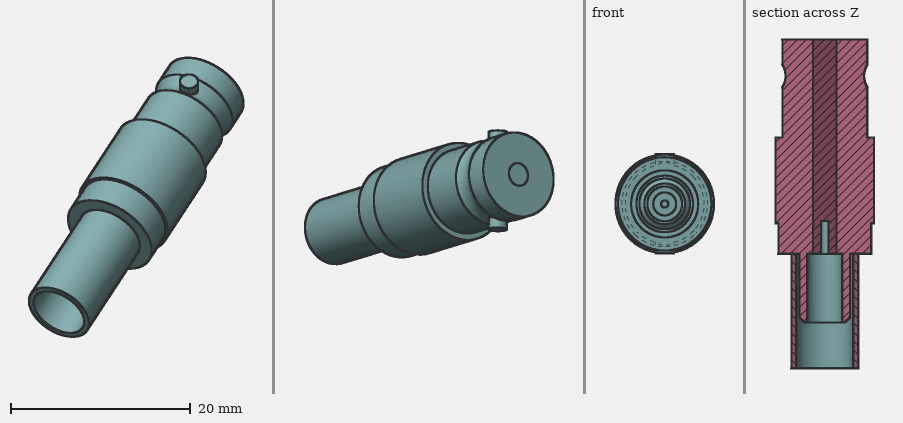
import cadquery as cq

LENGTH = 36.63
FRONT_Y = LENGTH / 2
REAR_Y = -LENGTH / 2

NOSE_RADIUS = 4.75
COLLAR_RADIUS = 5.5
REAR_RING_RADIUS = 5.2
COLLAR_FRONT_Y = FRONT_Y - 10.9
COLLAR_REAR_Y = COLLAR_FRONT_Y - 9.55
SHOULDER_Y = COLLAR_REAR_Y - 3.4

STUD_Y = FRONT_Y - 4.05
STUD_RADIUS = 1.03
STUD_SPAN = 11.05
GROOVE_WIDTH = 2.55
GROOVE_DEPTH = 0.35

STEM_RADIUS = 2.82
STEM_TIP_RADIUS = 2.27
STEM_BORE_RADIUS = 1.95
STEM_RECESS = 5.13
STEM_REAR_Y = REAR_Y + STEM_RECESS
STEM_CHAMFER = STEM_RADIUS - STEM_TIP_RADIUS

FERRULE_RADIUS = 3.75
FERRULE_BORE_RADIUS = 3.15
CONTACT_RADIUS = 1.3
WIRE_HOLE_RADIUS = 0.4
WIRE_HOLE_DEPTH = 3.65


def cylinder_along_y(radius, y_start, y_end):
    """Solid cylinder on the Y axis between two stations."""
    return cq.Workplane("XZ", origin=(0, y_start, 0)).circle(radius).extrude(y_start - y_end)


def make_shell_turning():
    """Turned outside of the shell, from the grooved nose back to the cable stem."""
    groove_front_y = STUD_Y + GROOVE_WIDTH / 2
    groove_rear_y = STUD_Y - GROOVE_WIDTH / 2
    return (
        cq.Workplane("XY")
        .moveTo(0, FRONT_Y)
        .lineTo(NOSE_RADIUS, FRONT_Y)
        .lineTo(NOSE_RADIUS, groove_front_y)
        .threePointArc((NOSE_RADIUS - GROOVE_DEPTH, STUD_Y), (NOSE_RADIUS, groove_rear_y))
        .lineTo(NOSE_RADIUS, COLLAR_FRONT_Y)
        .lineTo(COLLAR_RADIUS, COLLAR_FRONT_Y)
        .lineTo(COLLAR_RADIUS, COLLAR_REAR_Y)
        .lineTo(REAR_RING_RADIUS, COLLAR_REAR_Y)
        .lineTo(REAR_RING_RADIUS, SHOULDER_Y)
        .lineTo(STEM_RADIUS, SHOULDER_Y)
        .lineTo(STEM_RADIUS, STEM_REAR_Y + STEM_CHAMFER)
        .lineTo(STEM_TIP_RADIUS, STEM_REAR_Y)
        .lineTo(0, STEM_REAR_Y)
        .close()
        .revolve(360, (0, 0, 0), (0, 1, 0))
    )


def make_shell():
    """Shell with its two bayonet studs, the stem bore and the hole for the contact."""
    studs = (
        cq.Workplane("XY", origin=(0, STUD_Y, 0))
        .circle(STUD_RADIUS)
        .extrude(STUD_SPAN / 2, both=True)
    )
    stem_bore = cylinder_along_y(STEM_BORE_RADIUS, STEM_REAR_Y, SHOULDER_Y)
    contact_hole = cylinder_along_y(CONTACT_RADIUS, SHOULDER_Y, FRONT_Y)
    return make_shell_turning().union(studs).cut(stem_bore).cut(contact_hole)


def make_ferrule():
    """Plain crimp tube standing against the rear shoulder of the shell."""
    tube = cylinder_along_y(FERRULE_RADIUS, REAR_Y, SHOULDER_Y)
    bore = cylinder_along_y(FERRULE_BORE_RADIUS, REAR_Y, SHOULDER_Y)
    return tube.cut(bore)


def make_contact():
    """Centre contact, flush with the floor of the stem bore, with a blind wire hole."""
    rod = cylinder_along_y(CONTACT_RADIUS, SHOULDER_Y, FRONT_Y)
    wire_hole = cylinder_along_y(WIRE_HOLE_RADIUS, SHOULDER_Y, SHOULDER_Y + WIRE_HOLE_DEPTH)
    return rod.cut(wire_hole)


shell = make_shell()
ferrule = make_ferrule()
contact = make_contact()

result = cq.Compound.makeCompound([shell.val(), ferrule.val(), contact.val()])